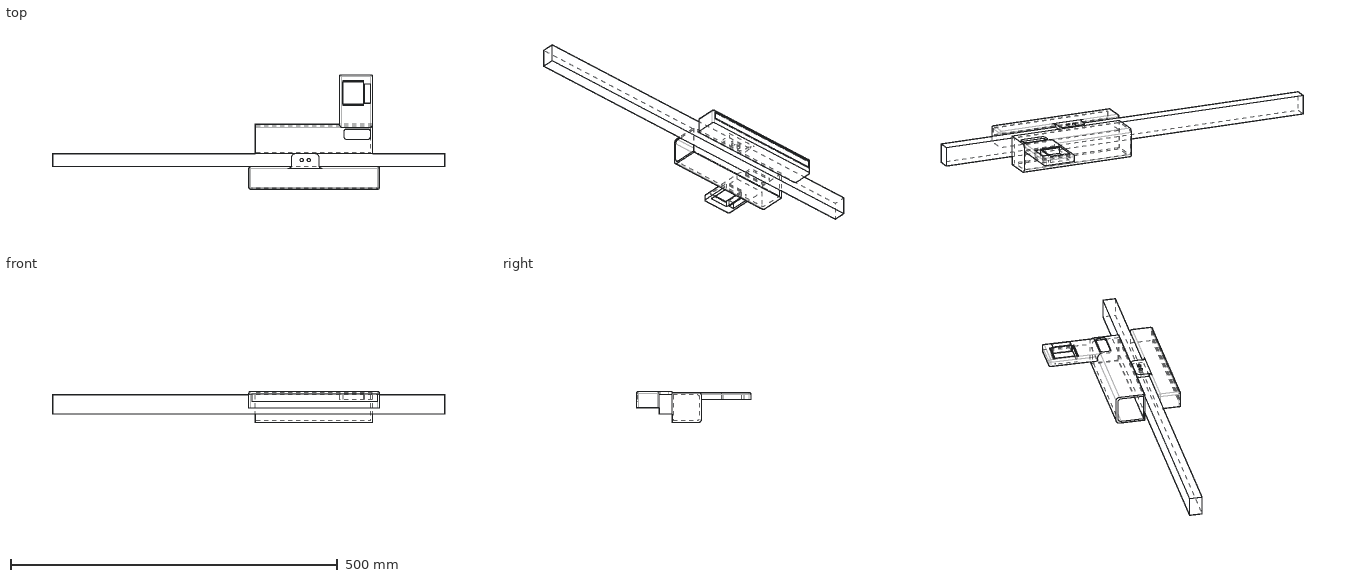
import cadquery as cq


RAIL_LENGTH = 600.0
RAIL_DEPTH = 20.0
RAIL_HEIGHT = 30.0

CASE_LENGTH = RAIL_LENGTH / 3
CASE_DEPTH = 35.0
CASE_HEIGHT = 25.0
CASE_TOP = 5.0
CASE_ROUND = 3.0
CASE_START = 0.0

STRIP_HEIGHT = 11.5
STRIP_THICKNESS = 2.0
STRIP_LEFT_MARGIN = 5.0
STRIP_RIGHT_MARGIN = CASE_ROUND
STRIP_TOP_GAP = 4.0

TAB_WIDTH = 42.0
TAB_CENTRE_X = CASE_START + 86.5
TAB_THICKNESS = CASE_TOP
TAB_CORNER = 6.0
TAB_FLARE = 5.0
TAB_REACH = RAIL_DEPTH + CASE_ROUND
TAB_HOLE_DIAMETER = 5.0
TAB_HOLE_SPACING = 11.0

HOUSING_LENGTH = 180.0
HOUSING_DEPTH = 45.0
HOUSING_HEIGHT = 46.0
HOUSING_TOP = 3.2
HOUSING_WALL = 3.0
HOUSING_FRONT_WALL = 2.0
HOUSING_INSET = 9.5
HOUSING_ROUND = 5.5
HOUSING_INNER_ROUND = 5.0
HOUSING_START = CASE_START + HOUSING_INSET
HOUSING_END = HOUSING_START + HOUSING_LENGTH

PORT_LENGTH = 40.0
PORT_WIDTH = 16.0
PORT_CORNER = 4.0
PORT_END_GAP = 3.5
PORT_BACK_GAP = 7.0

ARM_WIDTH = 51.0
ARM_LENGTH = 75.5
ARM_THICKNESS = 11.0
ARM_ROUND = 3.0
ARM_LEFT = HOUSING_END - ARM_WIDTH
ARM_TIP = HOUSING_DEPTH + ARM_LENGTH

WINDOW_WIDTH = 31.0
WINDOW_LENGTH = 34.0
WINDOW_LEFT_GAP = 5.5
WINDOW_TIP_GAP = 11.0
LEDGE_WIDTH = 2.0
LEDGE_DEPTH = 2.0
SLOT_WIDTH = 9.0
SLOT_LENGTH = 29.0
SLOT_LEFT_GAP = 38.5
SLOT_TIP_GAP = 14.5


def block(x, y, z, length, depth, height):
    """Box whose left, front, bottom corner is at (x, y, z)."""
    return cq.Workplane("XY").box(length, depth, height, centered=False).translate((x, y, z))


def make_rail():
    return block(-RAIL_LENGTH / 2, -RAIL_DEPTH, -RAIL_HEIGHT, RAIL_LENGTH, RAIL_DEPTH, RAIL_HEIGHT)


def make_strip():
    return block(
        CASE_START + STRIP_LEFT_MARGIN,
        -RAIL_DEPTH - CASE_DEPTH,
        CASE_TOP - STRIP_TOP_GAP - STRIP_HEIGHT,
        CASE_LENGTH - STRIP_LEFT_MARGIN - STRIP_RIGHT_MARGIN,
        STRIP_THICKNESS,
        STRIP_HEIGHT,
    )


def make_case(strip):
    """Case rounded on its upright and top edges, with a recess for the strip."""
    body = block(
        CASE_START, -RAIL_DEPTH - CASE_DEPTH, CASE_TOP - CASE_HEIGHT, CASE_LENGTH, CASE_DEPTH, CASE_HEIGHT
    )
    return body.edges("|Z").fillet(CASE_ROUND).edges(">Z").fillet(CASE_ROUND).cut(strip)


def make_tab(case):
    """Plate on the rail that flares out to meet the rounded back edge of the case."""
    half = TAB_WIDTH / 2
    root = half + TAB_FLARE
    plate = (
        cq.Workplane("XY")
        .moveTo(-root, -TAB_REACH)
        .radiusArc((-half, TAB_FLARE - TAB_REACH), -TAB_FLARE)
        .lineTo(-half, -TAB_CORNER)
        .radiusArc((-half + TAB_CORNER, 0), TAB_CORNER)
        .lineTo(half - TAB_CORNER, 0)
        .radiusArc((half, -TAB_CORNER), TAB_CORNER)
        .lineTo(half, TAB_FLARE - TAB_REACH)
        .radiusArc((root, -TAB_REACH), -TAB_FLARE)
        .close()
        .extrude(TAB_THICKNESS)
    )
    holes = (
        cq.Workplane("XY")
        .pushPoints([(side * TAB_HOLE_SPACING / 2, -RAIL_DEPTH / 2) for side in (-1, 1)])
        .circle(TAB_HOLE_DIAMETER / 2)
        .extrude(TAB_THICKNESS)
    )
    return plate.cut(holes).translate((TAB_CENTRE_X, 0, 0)).cut(case)


def make_housing_outside():
    outside = block(
        HOUSING_START, 0, HOUSING_TOP - HOUSING_HEIGHT, HOUSING_LENGTH, HOUSING_DEPTH, HOUSING_HEIGHT
    )
    return outside.edges("|X and >Y").fillet(HOUSING_ROUND)


def make_housing():
    """Housing hollowed from its left end, with a port in its top."""
    cavity = block(
        HOUSING_START,
        HOUSING_FRONT_WALL,
        HOUSING_TOP - HOUSING_HEIGHT + HOUSING_WALL,
        HOUSING_LENGTH - HOUSING_WALL,
        HOUSING_DEPTH - HOUSING_FRONT_WALL - HOUSING_WALL,
        HOUSING_HEIGHT - 2 * HOUSING_WALL,
    )
    cavity = cavity.edges("|X and >Y").fillet(HOUSING_INNER_ROUND)
    port = block(
        HOUSING_END - PORT_END_GAP - PORT_LENGTH,
        HOUSING_DEPTH - PORT_BACK_GAP - PORT_WIDTH,
        HOUSING_TOP - HOUSING_WALL,
        PORT_LENGTH,
        PORT_WIDTH,
        HOUSING_WALL,
    )
    port = port.edges("|Z").fillet(PORT_CORNER)
    return make_housing_outside().cut(cavity).cut(port)


def make_arm():
    """Flat arm that fits against the rounded back edge of the housing."""
    bottom = HOUSING_TOP - ARM_THICKNESS
    start = HOUSING_DEPTH - HOUSING_ROUND
    arm = block(ARM_LEFT, start, bottom, ARM_WIDTH, ARM_TIP - start, ARM_THICKNESS)
    arm = arm.edges("|Z and >Y").fillet(ARM_ROUND)
    arm = arm.faces(">Z").edges("not <Y").fillet(ARM_ROUND)

    window_x = ARM_LEFT + WINDOW_LEFT_GAP
    window_y = ARM_TIP - WINDOW_TIP_GAP - WINDOW_LENGTH
    window = block(window_x, window_y, bottom, WINDOW_WIDTH, WINDOW_LENGTH, ARM_THICKNESS)
    ledge = block(
        window_x,
        window_y - LEDGE_WIDTH,
        HOUSING_TOP - LEDGE_DEPTH,
        WINDOW_WIDTH,
        WINDOW_LENGTH + 2 * LEDGE_WIDTH,
        LEDGE_DEPTH,
    )
    slot = block(
        ARM_LEFT + SLOT_LEFT_GAP,
        ARM_TIP - SLOT_TIP_GAP - SLOT_LENGTH,
        bottom,
        SLOT_WIDTH,
        SLOT_LENGTH,
        ARM_THICKNESS,
    )
    return arm.cut(window).cut(ledge).cut(slot).cut(make_housing_outside())


rail = make_rail()
strip = make_strip()
case = make_case(strip)
tab = make_tab(case)
housing = make_housing()
arm = make_arm()

result = cq.Compound.makeCompound(
    [rail.val(), strip.val(), case.val(), tab.val(), housing.val(), arm.val()]
)